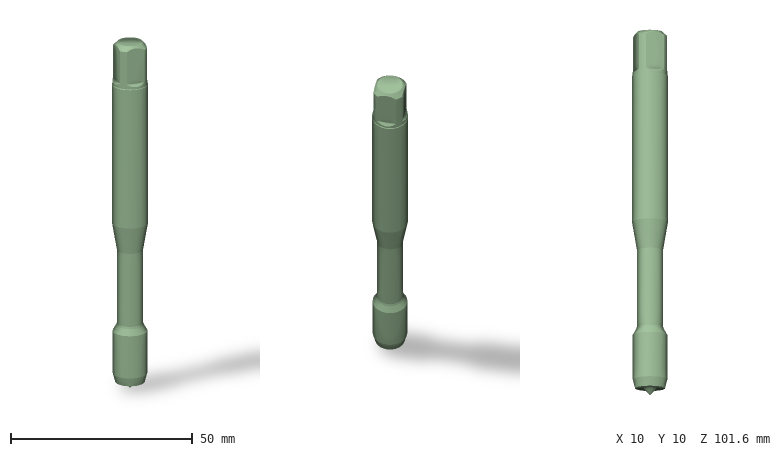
import cadquery as cq

TOTAL_LENGTH = 101.6
SHANK_TOP = 89.2
SHANK_BOTTOM = 48.6
NECK_TOP = 40.7
NECK_BOTTOM = 19.2
COLLAR_TOP = 18.6
HEAD_TOP = 16.9
LEAD_TOP = 4.5
TIP_HEIGHT = 1.9

SHANK_DIAMETER = 10.0
NECK_DIAMETER = 7.2
HEAD_DIAMETER = 9.6
LEAD_END_DIAMETER = 8.2
COLLAR_DIAMETER = 7.6
DRIVE_DIAMETER = 9.7
DRIVE_TOP_DIAMETER = 7.0

ACROSS_FLATS = 8.1
FLAT_BOTTOM = 90.8

SHANK_RADIUS = SHANK_DIAMETER / 2
NECK_RADIUS = NECK_DIAMETER / 2
HEAD_RADIUS = HEAD_DIAMETER / 2
DRIVE_RADIUS = DRIVE_DIAMETER / 2
DRIVE_CHAMFER = (DRIVE_DIAMETER - DRIVE_TOP_DIAMETER) / 2
SHANK_CHAMFER = SHANK_RADIUS - DRIVE_RADIUS


def turned(profile):
    """Revolve a closed (radius, height) outline about the Z axis."""
    return cq.Workplane("XZ").polyline(profile).close().revolve(360, (0, 0, 0), (0, 1, 0))


def flat_cutter():
    """Material removed on the +X side: a flat that runs out along a 45 degree slope."""
    flat = ACROSS_FLATS / 2
    run_out = SHANK_DIAMETER - flat
    outline = [
        (flat, TOTAL_LENGTH),
        (flat, FLAT_BOTTOM),
        (flat + run_out, FLAT_BOTTOM - run_out),
        (flat + run_out, TOTAL_LENGTH),
    ]
    return cq.Workplane("XZ").polyline(outline).close().extrude(SHANK_RADIUS, both=True)


def make_shank():
    """Shank with square drive, tapered neck and the flare that meets the head."""
    shank = turned([
        (0, HEAD_TOP),
        (HEAD_RADIUS, HEAD_TOP),
        (COLLAR_DIAMETER / 2, COLLAR_TOP),
        (NECK_RADIUS, NECK_BOTTOM),
        (NECK_RADIUS, NECK_TOP),
        (SHANK_RADIUS, SHANK_BOTTOM),
        (SHANK_RADIUS, SHANK_TOP),
        (DRIVE_RADIUS, SHANK_TOP + SHANK_CHAMFER),
        (DRIVE_RADIUS, TOTAL_LENGTH - DRIVE_CHAMFER),
        (DRIVE_TOP_DIAMETER / 2, TOTAL_LENGTH),
        (0, TOTAL_LENGTH),
    ])
    for side in range(4):
        cutter = flat_cutter().rotate((0, 0, 0), (0, 0, 1), 90 * side)
        shank = shank.cut(cutter)
    return shank


def make_head():
    """Cutting head with a tapered lead and a 90 degree centre point."""
    return turned([
        (0, 0),
        (TIP_HEIGHT, TIP_HEIGHT),
        (LEAD_END_DIAMETER / 2, TIP_HEIGHT),
        (HEAD_RADIUS, LEAD_TOP),
        (HEAD_RADIUS, HEAD_TOP),
        (0, HEAD_TOP),
    ])


shank = make_shank()
head = make_head()
result = cq.Compound.makeCompound([shank.val(), head.val()])